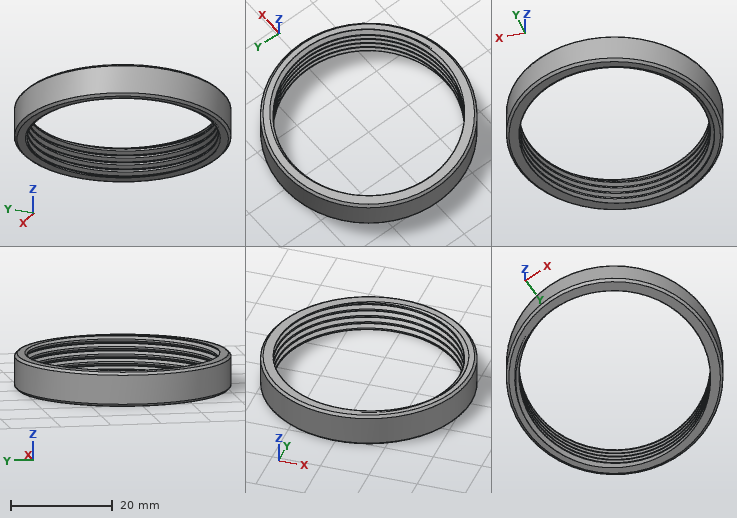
import cadquery as cq

outer_diameter = 42.5
height = 6.8
rim_chamfer = 0.5

crest_diameter = 37.53
root_diameter = 39.23
crest_width = 0.375
root_width = crest_width / 2
pitch = 4 * crest_width
extra_turns = 1
full_turns = 5
bore_overlap = 0.1


def ring_body():
    blank = cq.Workplane("XY").circle(outer_diameter / 2).extrude(height)
    blank = blank.edges("%CIRCLE").chamfer(rim_chamfer)
    bore = cq.Workplane("XY").circle(crest_diameter / 2).extrude(height)
    return blank.cut(bore)


def thread_cutter():
    """Right-handed V groove whose root meets the top face on the +X side."""
    crest_radius = crest_diameter / 2
    root_radius = root_diameter / 2
    mouth_half = (pitch - crest_width) / 2
    root_half = root_width / 2
    flank_slope = (mouth_half - root_half) / (root_radius - crest_radius)
    inner_radius = crest_radius - bore_overlap
    inner_half = mouth_half + bore_overlap * flank_slope

    start_z = height - (full_turns + extra_turns) * pitch
    helix_height = (full_turns + 2 * extra_turns) * pitch
    helix = cq.Wire.makeHelix(pitch, helix_height, crest_radius, center=cq.Vector(0, 0, start_z))
    groove_section = cq.Workplane("XZ").polyline([
        (inner_radius, start_z - inner_half),
        (root_radius, start_z - root_half),
        (root_radius, start_z + root_half),
        (inner_radius, start_z + inner_half),
    ]).close()
    groove = groove_section.sweep(cq.Workplane(obj=helix), isFrenet=True)

    ring_space = cq.Workplane("XY").rect(outer_diameter, outer_diameter).extrude(height)
    return groove.intersect(ring_space)


result = ring_body().cut(thread_cutter()).solids()